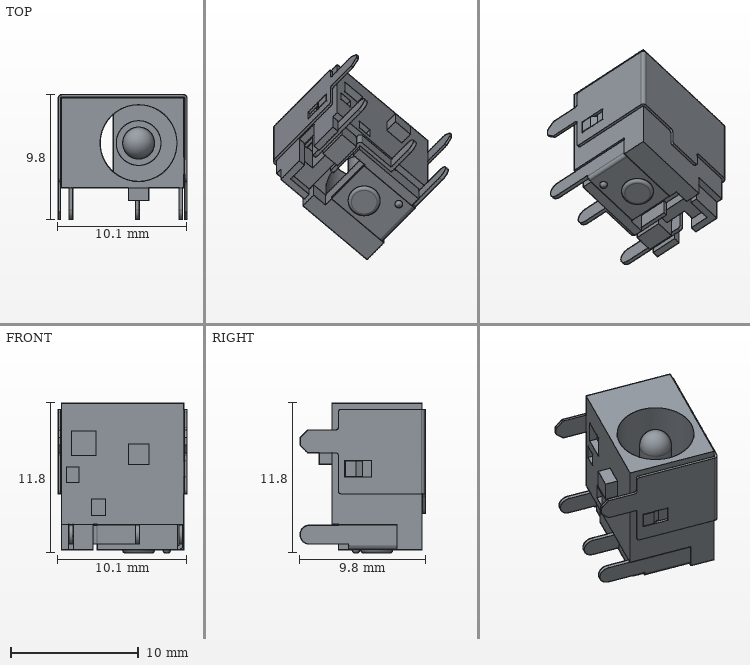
import cadquery as cq


WIDTH = 9.6
HALF_WIDTH = WIDTH / 2
HEIGHT = 11.5
FRONT_Y = -3.5
BACK_Y = 3.55
BASE_HEIGHT = 2.0
BASE_SETBACK = 0.5
BASE_FRONT_Y = FRONT_Y + BASE_SETBACK
LEFT_BASE_BACK_Y = BACK_Y - BASE_SETBACK

AXIS_X = 1.25
BORE_RADIUS = 3.0
FLOOR_WIDTH_LEFT = 2.0
FLOOR_EDGE_X = AXIS_X - FLOOR_WIDTH_LEFT
CHAMBER_HALF_DEPTH = 2.3

TERMINAL_SHEET = 0.3
TERMINAL_BEND = 0.28
LEAD_TIP_Y = -6.0
LEAD_BOTTOM = 0.45
LEAD_WIDTH = 1.5
LEAD_TOP = LEAD_BOTTOM + LEAD_WIDTH

LEFT_LEAD_X = -4.05
LEFT_CHANNEL = 0.4
SLOT_FRONT_Y = -0.8
SLOT_BACK_Y = 0.9
SLOT_TOP = 4.3
POCKET_BACK_Y = 1.0
POCKET_FLOOR_X = -3.3
STEM_BACK_Y = 0.05
STEM_CORNER = 0.25
ARM_BOTTOM = 4.12
LEFT_RECESS_TOP = 1.08
LEFT_RECESS_BACK_Y = 2.5

GROOVE_LEFT_X = -2.3
GROOVE_RIGHT_X = GROOVE_LEFT_X + TERMINAL_SHEET
MIDDLE_LEAD_X = 1.15
STRIP_FRONT_Y = -3.4
STRIP_TAIL_Y = 0.0

PIN_RADIUS = 1.25
PIN_TIP_Z = HEIGHT
RIVET_DROP = 0.25
SHOULDER_RADIUS = 1.75
SHOULDER_HEIGHT = 0.5
STUD_RADIUS = 0.3
STUD_X = 3.45
STUD_Y = -1.62
PLATE_BOTTOM = 0.05
PLATE_TOP = PLATE_BOTTOM + TERMINAL_SHEET
PLATE_FRONT_Y = -2.2
PLATE_BACK_Y = 1.6
RIGHT_LEAD_X = 4.55
RIGHT_NOTCH = 0.5
RIGHT_EDGE_X = RIGHT_LEAD_X + TERMINAL_SHEET / 2

SHELL_SHEET = 0.2
SHELL_GAP = 0.05
SHELL_INNER_X = HALF_WIDTH + SHELL_GAP
SHELL_OUTER_X = SHELL_INNER_X + SHELL_SHEET
SHELL_INNER_BACK_Y = BACK_Y + SHELL_GAP
SHELL_BACK_Y = SHELL_INNER_BACK_Y + SHELL_SHEET
SHELL_BOTTOM = 4.4
SHELL_TOP = 11.0
SHELL_FRONT_Y = -3.0
SHELL_BEND = 0.3
SHELL_CORNER = 0.2
TAB_BOTTOM = 7.6
TAB_TOP = 9.4
TAB_TIP_Y = LEAD_TIP_Y
TAB_CHAMFER = 0.6
TONGUE_WIDTH = 3.0
TONGUE_BOTTOM = 2.85

WINDOW_FRONT_Y = -2.5
WINDOW_BACK_Y = -0.4
WINDOW_BOTTOM = 5.7
WINDOW_TOP = 7.0
BARB_CLEARANCE = 0.05
BARB_BACK_Y = -1.1
BARB_RAMP = 0.5
BARB_HEIGHT = SHELL_OUTER_X - HALF_WIDTH

KEY_X = 1.25
KEY_Z = 7.5
KEY_SIZE = 1.6
KEY_REACH = 1.0

FRONT_POCKETS = [
    (-4.0, -2.1, 7.4, 9.3, 0.6),
    (-4.4, -3.4, 5.3, 6.5, 0.55),
    (-2.45, -1.35, 2.7, 4.0, 0.55),
]


def box(x0, x1, y0, y1, z0, z1):
    """Box between two opposite corners."""
    return cq.Workplane("XY").box(x1 - x0, y1 - y0, z1 - z0, centered=False).translate((x0, y0, z0))


def axis_cylinder(radius, z0, z1):
    """Cylinder on the jack axis between two heights."""
    return cq.Workplane("XY").center(AXIS_X, 0).circle(radius).extrude(z1 - z0).translate((0, 0, z0))


def plate_at(x_middle, sketch):
    """Terminal sheet centred on x_middle, from a (y, z) outline drawn on the YZ plane."""
    return sketch.extrude(TERMINAL_SHEET).translate((x_middle - TERMINAL_SHEET / 2, 0, 0))


def lead(x_middle, root_y):
    """Flat lead with a round tip, running forward from root_y."""
    radius = LEAD_WIDTH / 2
    outline = (
        cq.Workplane("YZ")
        .moveTo(root_y, LEAD_BOTTOM)
        .lineTo(LEAD_TIP_Y + radius, LEAD_BOTTOM)
        .threePointArc((LEAD_TIP_Y, LEAD_BOTTOM + radius), (LEAD_TIP_Y + radius, LEAD_TOP))
        .lineTo(root_y, LEAD_TOP)
        .close()
    )
    return plate_at(x_middle, outline)


def right_barb():
    """Catch on the right wall: a ramp at the back rising to a flat top."""
    bottom = WINDOW_BOTTOM + BARB_CLEARANCE
    top = WINDOW_TOP - BARB_CLEARANCE
    front = WINDOW_FRONT_Y + BARB_CLEARANCE
    return (
        cq.Workplane("XY")
        .polyline([
            (HALF_WIDTH, BARB_BACK_Y),
            (HALF_WIDTH + BARB_HEIGHT, BARB_BACK_Y - BARB_RAMP),
            (HALF_WIDTH + BARB_HEIGHT, front),
            (HALF_WIDTH, front),
        ])
        .close()
        .extrude(top - bottom)
        .translate((0, 0, bottom))
    )


def make_housing():
    body = box(-HALF_WIDTH, HALF_WIDTH, FRONT_Y, BACK_Y, BASE_HEIGHT, HEIGHT)
    body = body.union(box(-HALF_WIDTH, GROOVE_LEFT_X, BASE_FRONT_Y, LEFT_BASE_BACK_Y, 0, BASE_HEIGHT))
    body = body.union(box(GROOVE_RIGHT_X, HALF_WIDTH, BASE_FRONT_Y, BACK_Y, 0, BASE_HEIGHT))

    key_half = KEY_SIZE / 2
    key_front = FRONT_Y - KEY_REACH
    body = body.union(
        box(KEY_X - key_half, KEY_X + key_half, key_front, FRONT_Y, KEY_Z - key_half, KEY_Z + key_half)
    )
    barb = right_barb()
    body = body.union(barb).union(barb.mirror("YZ"))

    body = body.cut(axis_cylinder(BORE_RADIUS, BASE_HEIGHT, HEIGHT))
    body = body.cut(
        box(GROOVE_RIGHT_X, FLOOR_EDGE_X, -CHAMBER_HALF_DEPTH, CHAMBER_HALF_DEPTH, 0, BASE_HEIGHT)
    )
    body = body.cut(axis_cylinder(PIN_RADIUS, 0, BASE_HEIGHT))

    for x0, x1, z0, z1, depth in FRONT_POCKETS:
        body = body.cut(box(x0, x1, FRONT_Y, FRONT_Y + depth, z0, z1))

    channel_left = LEFT_LEAD_X - LEFT_CHANNEL / 2
    channel_right = LEFT_LEAD_X + LEFT_CHANNEL / 2
    body = body.cut(box(-HALF_WIDTH, channel_left, SLOT_FRONT_Y, SLOT_BACK_Y, 0, SLOT_TOP))
    body = body.cut(box(channel_left, POCKET_FLOOR_X, SLOT_FRONT_Y, POCKET_BACK_Y, 0, SLOT_TOP))
    body = body.cut(box(channel_left, channel_right, BASE_FRONT_Y, SLOT_FRONT_Y, 0, BASE_HEIGHT))
    body = body.cut(
        box(channel_left, GROOVE_LEFT_X, SLOT_FRONT_Y, LEFT_RECESS_BACK_Y, 0, LEFT_RECESS_TOP)
    )

    body = body.cut(box(FLOOR_EDGE_X, RIGHT_EDGE_X, PLATE_FRONT_Y, PLATE_BACK_Y, 0, PLATE_TOP))
    body = body.cut(
        box(HALF_WIDTH - RIGHT_NOTCH, HALF_WIDTH, BASE_FRONT_Y, PLATE_BACK_Y, 0, BASE_HEIGHT)
    )
    return body


def make_left_terminal():
    outline = (
        cq.Workplane("YZ")
        .moveTo(SLOT_FRONT_Y, LEAD_BOTTOM)
        .lineTo(STEM_BACK_Y - STEM_CORNER, LEAD_BOTTOM)
        .radiusArc((STEM_BACK_Y, LEAD_BOTTOM + STEM_CORNER), -STEM_CORNER)
        .lineTo(STEM_BACK_Y, ARM_BOTTOM)
        .lineTo(POCKET_BACK_Y, ARM_BOTTOM)
        .lineTo(POCKET_BACK_Y, SLOT_TOP)
        .lineTo(SLOT_FRONT_Y, SLOT_TOP)
        .close()
    )
    stem = plate_at(LEFT_LEAD_X, outline)
    return stem.union(lead(LEFT_LEAD_X, SLOT_FRONT_Y))


def make_middle_terminal():
    strip_back = STRIP_FRONT_Y + TERMINAL_SHEET
    lead_right = MIDDLE_LEAD_X + TERMINAL_SHEET / 2
    strip = box(GROOVE_LEFT_X, lead_right, STRIP_FRONT_Y, strip_back, LEAD_BOTTOM, LEAD_TOP)
    tail = box(GROOVE_LEFT_X, GROOVE_RIGHT_X, STRIP_FRONT_Y, STRIP_TAIL_Y, LEAD_BOTTOM, LEAD_TOP)
    bent = strip.union(tail).edges("|Z and <X and <Y").fillet(TERMINAL_BEND)
    return bent.union(lead(MIDDLE_LEAD_X, strip_back))


def rivet(x, y, radius, top):
    """Round post with a rounded lower end standing out below the base."""
    return (
        cq.Workplane("XY")
        .center(x, y)
        .circle(radius)
        .extrude(top + RIVET_DROP)
        .faces("<Z")
        .edges()
        .fillet(RIVET_DROP)
        .translate((0, 0, -RIVET_DROP))
    )


def make_pin_contact():
    ball_z = PIN_TIP_Z - PIN_RADIUS
    pin = rivet(AXIS_X, 0, PIN_RADIUS, ball_z)
    pin = pin.union(cq.Workplane("XY").sphere(PIN_RADIUS).translate((AXIS_X, 0, ball_z)))
    pin = pin.union(axis_cylinder(SHOULDER_RADIUS, BASE_HEIGHT, BASE_HEIGHT + SHOULDER_HEIGHT))

    plate = box(FLOOR_EDGE_X, RIGHT_EDGE_X, PLATE_FRONT_Y, PLATE_BACK_Y, PLATE_BOTTOM, PLATE_TOP)
    upright = box(
        RIGHT_EDGE_X - TERMINAL_SHEET, RIGHT_EDGE_X, PLATE_FRONT_Y, PLATE_BACK_Y, PLATE_BOTTOM, LEAD_TOP
    )
    folded = plate.union(upright).edges("|Y and >X and <Z").fillet(TERMINAL_BEND)
    stud = rivet(STUD_X, STUD_Y, STUD_RADIUS, PLATE_TOP)
    return pin.union(folded).union(stud).union(lead(RIGHT_LEAD_X, PLATE_FRONT_Y))


def make_shell():
    outer = box(-SHELL_OUTER_X, SHELL_OUTER_X, SHELL_FRONT_Y, SHELL_BACK_Y, SHELL_BOTTOM, SHELL_TOP)
    inner = box(-SHELL_INNER_X, SHELL_INNER_X, SHELL_FRONT_Y, SHELL_INNER_BACK_Y, SHELL_BOTTOM, SHELL_TOP)
    outer = outer.edges("|Z and >Y").fillet(SHELL_BEND)
    inner = inner.edges("|Z and >Y").fillet(SHELL_BEND - SHELL_SHEET)
    body = outer.cut(inner).edges("|X and <Y").fillet(SHELL_CORNER)

    tab = box(SHELL_INNER_X, SHELL_OUTER_X, TAB_TIP_Y, SHELL_FRONT_Y, TAB_BOTTOM, TAB_TOP)
    tab = tab.edges("|X and <Y").chamfer(TAB_CHAMFER)
    body = body.union(tab).union(tab.mirror("YZ"))
    body = body.cut(
        box(-SHELL_OUTER_X, SHELL_OUTER_X, WINDOW_FRONT_Y, WINDOW_BACK_Y, WINDOW_BOTTOM, WINDOW_TOP)
    )

    tongue = box(
        -TONGUE_WIDTH / 2, TONGUE_WIDTH / 2, SHELL_INNER_BACK_Y, SHELL_BACK_Y, TONGUE_BOTTOM, SHELL_BOTTOM
    )
    body = body.union(tongue.edges("|Y and <Z").fillet(SHELL_CORNER))

    reach = SHELL_CORNER / 2
    tab_roots = cq.selectors.BoxSelector(
        (-SHELL_OUTER_X - reach, SHELL_FRONT_Y - reach, TAB_BOTTOM - reach),
        (SHELL_OUTER_X + reach, SHELL_FRONT_Y + reach, TAB_TOP + reach),
    )
    tongue_roots = cq.selectors.BoxSelector(
        (-TONGUE_WIDTH / 2 - reach, SHELL_INNER_BACK_Y - reach, SHELL_BOTTOM - reach),
        (TONGUE_WIDTH / 2 + reach, SHELL_BACK_Y + reach, SHELL_BOTTOM + reach),
    )
    body = body.edges("|X").edges(tab_roots).fillet(SHELL_CORNER)
    return body.edges("|Y").edges(tongue_roots).fillet(SHELL_CORNER)


housing = make_housing()
left_terminal = make_left_terminal()
middle_terminal = make_middle_terminal()
pin_contact = make_pin_contact()
shell = make_shell()
result = cq.Compound.makeCompound(
    [housing.val(), left_terminal.val(), middle_terminal.val(), pin_contact.val(), shell.val()]
)